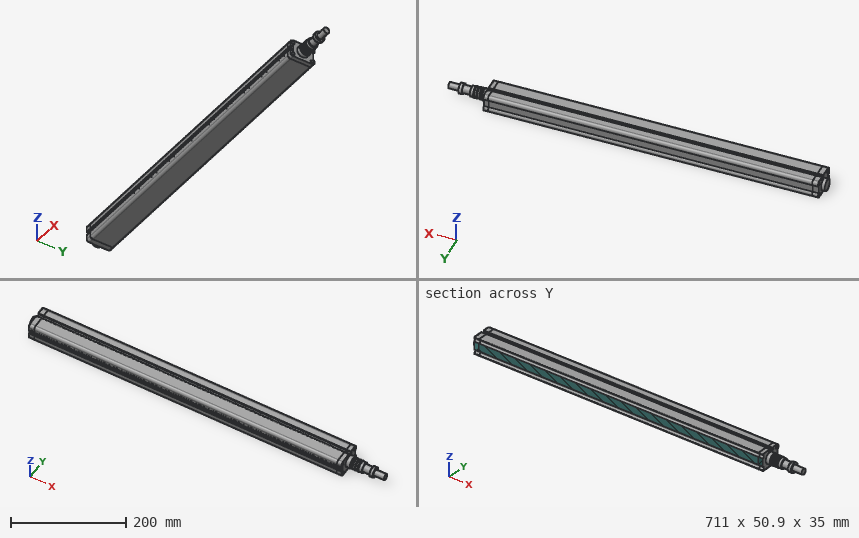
import cadquery as cq
import math


total_length = 711.0
boss_length = 7.0
rear_cap_length = 11.0
tube_length = 610.0
front_cap_length = 9.0

width = 50.85
height = 35.0
corner_radius = 5.5
bolt_hole_diameter = 6.4
recess_depth = 3.0

slot_opening = 6.4
slot_inner_width = 10.8
slot_lip = 2.2
slot_depth = 5.5
top_slot_offset = 4.2

boss_diameter = 23.0
boss_drop = 3.0

gland_diameter = 23.0
gland_length = 8.5
gland_core_diameter = 20.0
gland_core_length = 25.4
rib_diameter = 21.5
rib_width = 1.8
rib_pitch = 5.8
rib_count = 3

collar_diameter = 20.0
collar_length = 6.5
rod_diameter = 15.5
flange_diameter = 20.0
flange_thickness = 6.5
stud_diameter = 12.0
stud_length = 20.5

rear_cap_start = boss_length
tube_start = rear_cap_start + rear_cap_length
front_cap_start = tube_start + tube_length
gland_start = front_cap_start + front_cap_length
gland_end = gland_start + gland_core_length
stud_start = total_length - stud_length
flange_start = stud_start - flange_thickness

lobe_y = width / 2 - corner_radius
lobe_z = height / 2 - corner_radius
arc_mid_y = lobe_y + corner_radius * math.sqrt(0.5)
arc_mid_z = lobe_z + corner_radius * math.sqrt(0.5)
recess_y = width / 2 - recess_depth
lobe_end_z = lobe_z - math.sqrt(corner_radius**2 - (recess_y - lobe_y) ** 2)


def cylinder_along_x(start, length, diameter, z=0.0):
    """A round bar from `start`, pointing along +X."""
    return cq.Workplane("YZ", origin=(start, 0, z)).circle(diameter / 2).extrude(length)


def t_slot(start, length):
    """T-slot cutter whose mouth is at z = 0, opening upward."""
    neck = (
        cq.Workplane("YZ", origin=(start, 0, -slot_depth / 2))
        .rect(slot_opening, slot_depth)
        .extrude(length)
    )
    inner_depth = slot_depth - slot_lip
    inner = (
        cq.Workplane("YZ", origin=(start, 0, -slot_depth + inner_depth / 2))
        .rect(slot_inner_width, inner_depth)
        .extrude(length)
    )
    return neck.union(inner)


def housing_section(start, length):
    """A length of the slotted profile."""
    body = (
        cq.Workplane("YZ", origin=(start, 0, 0))
        .moveTo(-lobe_y, height / 2)
        .lineTo(lobe_y, height / 2)
        .threePointArc((arc_mid_y, arc_mid_z), (recess_y, lobe_end_z))
        .lineTo(recess_y, -lobe_end_z)
        .threePointArc((arc_mid_y, -arc_mid_z), (lobe_y, -height / 2))
        .lineTo(-lobe_y, -height / 2)
        .threePointArc((-arc_mid_y, -arc_mid_z), (-width / 2, -lobe_z))
        .lineTo(-width / 2, lobe_z)
        .threePointArc((-arc_mid_y, arc_mid_z), (-lobe_y, height / 2))
        .close()
        .extrude(length)
    )

    bolt_holes = (
        cq.Workplane("YZ", origin=(start, 0, 0))
        .rect(2 * lobe_y, 2 * lobe_z, forConstruction=True)
        .vertices()
        .circle(bolt_hole_diameter / 2)
        .extrude(length)
    )

    top_slot = t_slot(start, length).translate((0, top_slot_offset, height / 2))
    side_slot = (
        t_slot(start, length)
        .rotate((0, 0, 0), (1, 0, 0), 90)
        .translate((0, -width / 2, 0))
    )

    return body.cut(bolt_holes).cut(top_slot).cut(side_slot)


def make_rear_cap():
    cap = housing_section(rear_cap_start, rear_cap_length)
    boss = cylinder_along_x(0, boss_length, boss_diameter, -boss_drop)
    return cap.union(boss)


def make_tube():
    return housing_section(tube_start, tube_length)


def make_front_cap():
    cap = housing_section(front_cap_start, front_cap_length)
    cap = cap.union(cylinder_along_x(gland_start, gland_length, gland_diameter))
    cap = cap.union(cylinder_along_x(gland_start, gland_core_length, gland_core_diameter))
    for i in range(rib_count):
        rib_start = gland_end - rib_width - i * rib_pitch
        cap = cap.union(cylinder_along_x(rib_start, rib_width, rib_diameter))
    return cap


def make_rod():
    rod = cylinder_along_x(gland_end, flange_start - gland_end, rod_diameter)
    rod = rod.union(cylinder_along_x(gland_end, collar_length, collar_diameter))
    rod = rod.union(cylinder_along_x(flange_start, flange_thickness, flange_diameter))
    return rod.union(cylinder_along_x(stud_start, stud_length, stud_diameter))


rear_cap = make_rear_cap()
tube = make_tube()
front_cap = make_front_cap()
rod = make_rod()

result = cq.Compound.makeCompound(
    [rear_cap.val(), tube.val(), front_cap.val(), rod.val()]
)